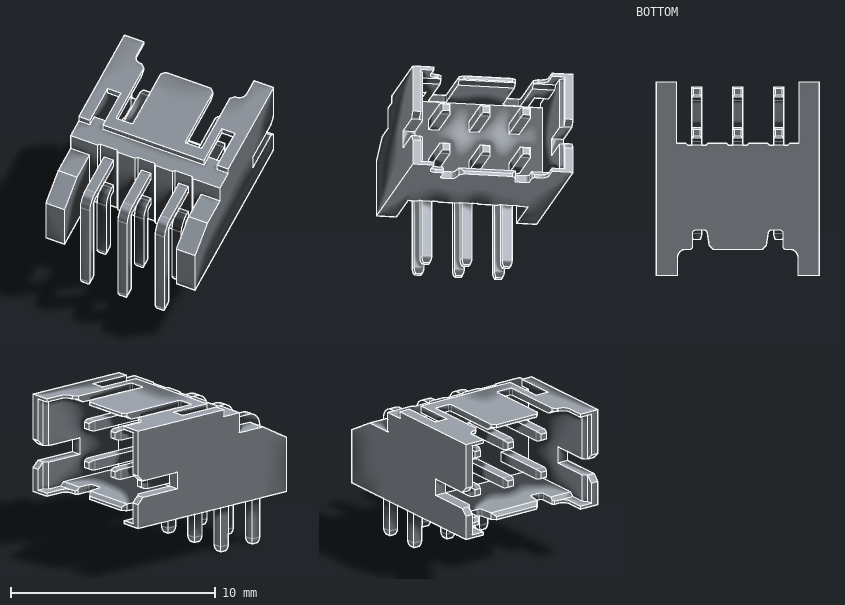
import cadquery as cq
import math


width = 8.0
length = 9.5
height = 5.0
half_width = width / 2
back_y = 3.0
groove_depth = 0.1
groove_floor_half = 0.45
step_y = 4.0
wall = 0.35

arm_width = 1.01
arm_top = 3.62
arm_slope_y = 1.5
arm_rear_top = 2.79

cavity_half_width = 3.41
cavity_back = 4.53
mouth_step = 0.19
mouth_half_width = cavity_half_width + mouth_step
mouth_wall = wall - mouth_step
roof_mouth_y = 8.02
roof_bevel_length = 0.28
floor_mouth_y = 8.22
side_mouth_y = 9.19

tongue_y = 8.22
tongue_half_width = 1.41
tongue_chamfer = 0.2
cheek_inner = 2.945
cheek_radius = 0.39
roof_slot_outer = 2.3
roof_slot_back = 4.64
roof_slot_radius = 0.095
floor_slot_outer = 2.21
floor_slot_inner_back = 1.52
floor_slot_back = 7.27
floor_slot_radius = 0.14
floor_slot_chamfer = 0.095

window_outer = cavity_half_width
window_width = 0.7
window_front = 6.15

side_slot_back = 6.98
side_slot_bottom = 1.54
side_slot_top = 2.38
side_slot_chamfer = 0.31

pitch = 2.0
row_count = 2
pin = 0.5
pin_bottom = height - width
pin_front = 7.73
upper_row_top = 3.73
upper_row_rear = 0.25
bend_radius = 0.665
tip_length = 0.3
tip_width = 0.32
tip_bulge = 0.02
pin_columns = [-pitch, 0, pitch]


def box(x0, x1, y0, y1, z0, z1):
    return cq.Workplane("XY").box(x1 - x0, y1 - y0, z1 - z0, centered=False).translate((x0, y0, z0))


def both_sides(shape):
    return shape.union(shape.mirror("YZ"))


def plate(outline, z0, z1):
    return outline.extrude(z1 - z0).translate((0, 0, z0))


def body_blank():
    side = (
        cq.Workplane("YZ")
        .moveTo(back_y, 0)
        .lineTo(length, 0)
        .lineTo(length, height)
        .lineTo(step_y, height)
        .lineTo(step_y, height - wall)
        .lineTo(back_y, height - wall)
        .close()
        .extrude(width)
        .translate((-half_width, 0, 0))
    )
    arm = (
        cq.Workplane("YZ")
        .moveTo(0, 0)
        .lineTo(back_y, 0)
        .lineTo(back_y, arm_top)
        .lineTo(arm_slope_y, arm_top)
        .lineTo(0, arm_rear_top)
        .close()
        .extrude(arm_width)
        .translate((-half_width, 0, 0))
    )
    return side.union(both_sides(arm))


def rear_groove(x):
    top_half = groove_floor_half + groove_depth
    outline = cq.Workplane("XY").polyline([
        (x - top_half, back_y),
        (x + top_half, back_y),
        (x + groove_floor_half, back_y + groove_depth),
        (x - groove_floor_half, back_y + groove_depth),
    ]).close()
    return plate(outline, 0, height)


def cavity():
    """Pocket bevelled out to thinner walls at the mouth; the sides, roof and floor open at different depths."""
    roof = height - wall
    mouth_roof = height - mouth_wall
    side_view = (
        cq.Workplane("YZ")
        .polyline([
            (cavity_back, wall),
            (floor_mouth_y - mouth_step, wall),
            (floor_mouth_y, mouth_wall),
            (length, mouth_wall),
            (length, mouth_roof),
            (roof_mouth_y, mouth_roof),
            (roof_mouth_y - roof_bevel_length, roof),
            (cavity_back, roof),
        ])
        .close()
        .extrude(cavity_half_width, both=True)
    )
    side_opening = cq.Workplane("XY").polyline([
        (-mouth_half_width, length),
        (-mouth_half_width, side_mouth_y),
        (-cavity_half_width, side_mouth_y - mouth_step),
        (cavity_half_width, side_mouth_y - mouth_step),
        (mouth_half_width, side_mouth_y),
        (mouth_half_width, length),
    ]).close()
    return side_view.union(plate(side_opening, mouth_wall, mouth_roof))


def end_notch():
    """Cut between the side strips, from the mating end back to the tongue tip."""
    arc_x = cheek_inner - cheek_radius
    arc_y = tongue_y + cheek_radius
    diagonal = cheek_radius * math.sqrt(0.5)
    return (
        cq.Workplane("XY")
        .moveTo(-cheek_inner, length)
        .lineTo(-cheek_inner, arc_y)
        .threePointArc((-arc_x - diagonal, arc_y - diagonal), (-arc_x, tongue_y))
        .lineTo(arc_x, tongue_y)
        .threePointArc((arc_x + diagonal, arc_y - diagonal), (cheek_inner, arc_y))
        .lineTo(cheek_inner, length)
        .close()
    )


def tongue_slot(outer, inner_back, back, corner_radius, outer_chamfer):
    """Open slot beside a tongue, rounded at the back and flared at the mating end."""
    outline = cq.Workplane("XY").polyline([
        (-outer, back),
        (-inner_back, back),
        (-tongue_half_width, tongue_y - tongue_chamfer),
        (-tongue_half_width + tongue_chamfer, tongue_y),
        (-outer - outer_chamfer, tongue_y),
        (-outer, tongue_y - outer_chamfer),
    ]).close()
    return outline.extrude(height / 2).edges("|Z and <Y").fillet(corner_radius)


def roof_slot():
    slot = tongue_slot(roof_slot_outer, tongue_half_width, roof_slot_back, roof_slot_radius, tongue_chamfer)
    return slot.translate((0, 0, height / 2))


def floor_slot():
    return tongue_slot(
        floor_slot_outer, floor_slot_inner_back, floor_slot_back, floor_slot_radius, floor_slot_chamfer
    )


def roof_window():
    return box(-window_outer, -window_outer + window_width, step_y, window_front, height - wall, height)


def side_slot():
    flare_y = length - side_slot_chamfer
    return (
        cq.Workplane("YZ")
        .polyline([
            (side_slot_back, side_slot_bottom),
            (flare_y, side_slot_bottom),
            (length, side_slot_bottom - side_slot_chamfer),
            (length, side_slot_top + side_slot_chamfer),
            (flare_y, side_slot_top),
            (side_slot_back, side_slot_top),
        ])
        .close()
        .extrude(width)
        .translate((-half_width, 0, 0))
    )


def pin_tip():
    """Tapered tip with bowed flanks, standing on the XY plane and pointing along +Z."""
    base = pin / 2
    end = tip_width / 2
    bow = (base + end) / 2 + tip_bulge
    flanks = (
        cq.Workplane("XZ")
        .moveTo(-base, 0)
        .lineTo(base, 0)
        .threePointArc((bow, tip_length / 2), (end, tip_length))
        .lineTo(-end, tip_length)
        .threePointArc((-bow, tip_length / 2), (-base, 0))
        .close()
        .extrude(base, both=True)
    )
    return flanks.intersect(flanks.rotate((0, 0, 0), (0, 0, 1), 90))


def bent_pin(x, rear, top):
    front = pin_front - tip_length
    bottom = pin_bottom + tip_length
    leg = box(x - pin / 2, x + pin / 2, rear, front, bottom, top)
    leg = leg.edges("|X and <Y and >Z").fillet(bend_radius)
    inside = box(x - pin / 2, x + pin / 2, rear + pin, front, bottom, top - pin)
    inside = inside.edges("|X and <Y and >Z").fillet(bend_radius - pin)
    front_tip = pin_tip().rotate((0, 0, 0), (1, 0, 0), -90).translate((x, front, top - pin / 2))
    lower_tip = pin_tip().rotate((0, 0, 0), (1, 0, 0), 180).translate((x, rear + pin / 2, bottom))
    return leg.cut(inside).union(front_tip).union(lower_tip)


housing = body_blank().cut(cavity())
housing = housing.cut(plate(end_notch(), 0, height))
housing = housing.cut(both_sides(roof_slot()))
housing = housing.cut(both_sides(floor_slot()))
housing = housing.cut(both_sides(roof_window()))
housing = housing.cut(side_slot())
for column in pin_columns:
    housing = housing.cut(rear_groove(column))

result = housing
for column in pin_columns:
    for row in range(row_count):
        result = result.union(bent_pin(column, upper_row_rear + row * pitch, upper_row_top - row * pitch))